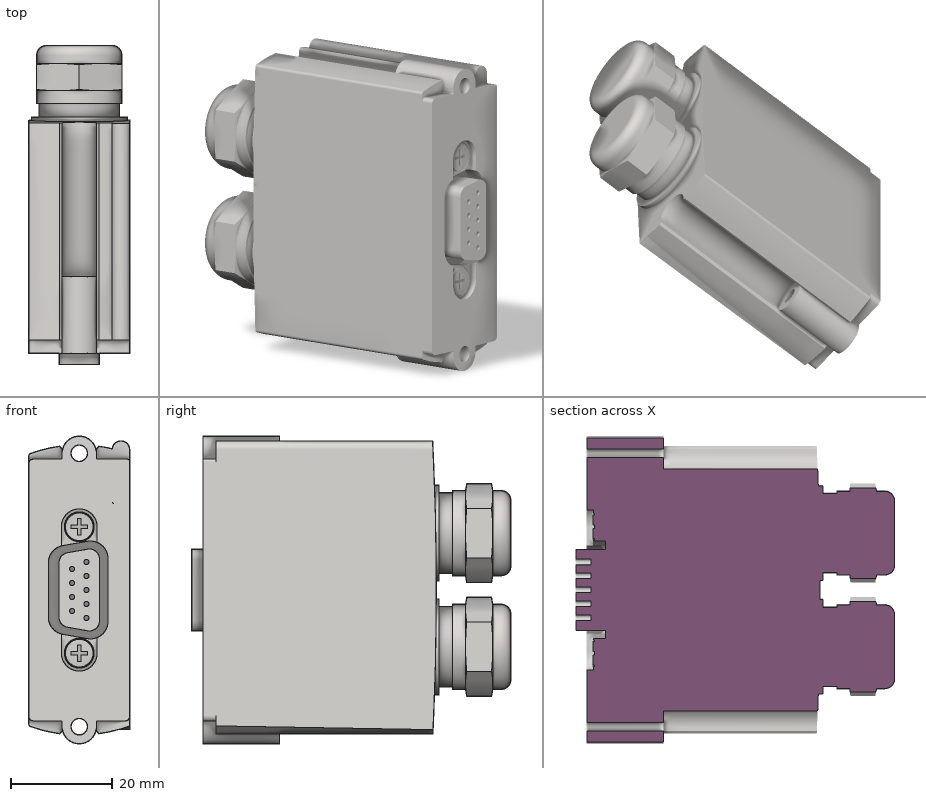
import cadquery as cq
import math

width = 20.0
overall_length = 63.19
overall_height = 60.9
half_width = width / 2
crown_radius = 28.3
crown_top = 28.72
edge_fillet = 0.6
rear_edge_y = 45.42
rear_bulge = 0.75
rear_y = rear_edge_y + rear_bulge

plate_depth = 2.58
plate_half_height = 25.88
plate_corner_radius = 0.9
plate_rail_corner_radius = 0.5
neck_fillet = 0.25

ear_radius = 3.4
ear_z = overall_height / 2 - ear_radius
ear_length = 15.15
ear_hole_diameter = 3.2
lip_chamfer = 0.5

bump_radius = 1.75
bump_z = 27.75
ramp_width = 2.4
ramp_rise = 0.75

shell_protrusion = 2.25
shell_half_width = 4.0
shell_mid_height = 7.78
shell_radius = 2.0
recess_left = 6.13
recess_right = 5.7
recess_mid_height = 9.35
recess_radius = 3.5
recess_depth = 3.6
flank_angle = 10.0
flank_slope = math.tan(math.radians(flank_angle))
pin_diameter = 1.0
pin_depth = 3.0
pin_pitch = 2.77
row_pitch = 2.84
long_row_pins = 5
short_row_pins = 4

screw_z = 12.5
seat_radius = 3.55
seat_depth = 1.2
head_diameter = 5.5
clearance_diameter = 5.9
clearance_depth = 0.2
head_height = 0.1
cross_length = 3.3
cross_width = 0.65
cross_depth = 0.35

gland_z = 11.25
gland_start_y = 45.0
flange_diameter = 19.0
flange_end_y = 46.75
neck_diameter = 16.0
neck_end_y = 49.4
nut_diameter = 16.9
hex_flats = 17.0
hex_start_y = 51.95
hex_end_y = 57.35
hex_chamfer = 0.25
gland_end_y = overall_length - shell_protrusion
gland_nose_fillet = 2.0


def front_plane(y):
    """Sketch plane at depth y with local axes along +X and +Z."""
    return cq.Workplane(cq.Plane(origin=(0, y, 0), xDir=(1, 0, 0), normal=(0, -1, 0)))


def block(x_range, y_range, z_range):
    sizes = [high - low for low, high in (x_range, y_range, z_range)]
    corner = (x_range[0], y_range[0], z_range[0])
    return cq.Workplane("XY").box(*sizes, centered=False).translate(corner)


def cylinder(x, z, diameter, y_start, y_end):
    return front_plane(y_start).center(x, z).circle(diameter / 2).extrude(y_start - y_end)


def crown_height(x):
    """Height of the crowned top surface at position x."""
    return crown_top - crown_radius + math.sqrt(crown_radius**2 - x**2)


def make_housing():
    side = crown_height(half_width)
    length = rear_y - plate_depth
    housing = (
        front_plane(plate_depth)
        .moveTo(-half_width, -side)
        .threePointArc((0, -crown_top), (half_width, -side))
        .lineTo(half_width, side)
        .threePointArc((0, crown_top), (-half_width, side))
        .close()
        .extrude(-length)
        .edges("|Y and <X")
        .fillet(edge_fillet)
    )
    bump_x = half_width - bump_radius
    bump = cylinder(bump_x, bump_z, 2 * bump_radius, plate_depth, rear_y)
    bump_foot = block((bump_x, half_width), (plate_depth, rear_y), (0, bump_z))
    ramp = (
        cq.Workplane("YZ", origin=(half_width - ramp_width, 0, 0))
        .polyline([(plate_depth, 0), (plate_depth, -side), (rear_y, -side - ramp_rise), (rear_y, 0)])
        .close()
        .extrude(ramp_width)
    )
    bulged_side = (
        cq.Workplane("YZ", origin=(-half_width, 0, 0))
        .moveTo(0, -crown_top - bump_radius)
        .lineTo(rear_edge_y, -crown_top - bump_radius)
        .threePointArc((rear_y, 0), (rear_edge_y, crown_top + bump_radius))
        .lineTo(0, crown_top + bump_radius)
        .close()
        .extrude(width)
    )
    return housing.union(bump).union(bump_foot).union(ramp).intersect(bulged_side)


def make_channel():
    """Cutter for the round-bottomed screw channel in the top surface."""
    lip_z = crown_height(ear_radius + lip_chamfer)
    opening = (
        front_plane(plate_depth)
        .moveTo(-ear_radius, ear_z)
        .threePointArc((0, ear_z - ear_radius), (ear_radius, ear_z))
        .lineTo(ear_radius, lip_z - lip_chamfer)
        .lineTo(ear_radius + lip_chamfer, lip_z)
        .lineTo(ear_radius + lip_chamfer, crown_top)
        .lineTo(-ear_radius - lip_chamfer, crown_top)
        .lineTo(-ear_radius - lip_chamfer, lip_z)
        .lineTo(-ear_radius, lip_z - lip_chamfer)
        .close()
    )
    return opening.extrude(plate_depth - rear_y)


def make_front_plate():
    y_range = (0, plate_depth)
    plate = block((-half_width, half_width), y_range, (-plate_half_height, plate_half_height))
    plate = plate.edges("|Y and <X").fillet(plate_corner_radius)
    plate = plate.edges("|Y and >X and <Z").fillet(plate_corner_radius)
    plate = plate.edges("|Y and >X and >Z").fillet(plate_rail_corner_radius)
    plate = plate.union(block((-ear_radius, ear_radius), y_range, (-ear_z, ear_z)))
    for x in (-ear_radius, ear_radius):
        for z in (-plate_half_height, plate_half_height):
            low = (x - neck_fillet, 0, z - neck_fillet)
            high = (x + neck_fillet, plate_depth, z + neck_fillet)
            corner = cq.selectors.BoxSelector(low, high)
            plate = plate.edges(corner).fillet(neck_fillet)
    return plate


def d_shape(y, left, right, mid_height, radius, depth):
    """Rounded D-shaped prism from depth y, taller on its right side."""
    left_height = mid_height - left * flank_slope
    right_height = mid_height + right * flank_slope
    corners = [(-left, -left_height), (right, -right_height), (right, right_height), (-left, left_height)]
    return front_plane(y).polyline(corners).close().extrude(-depth).edges("|Y").fillet(radius)


def pin_positions():
    rows = ((row_pitch / 2, long_row_pins), (-row_pitch / 2, short_row_pins))
    return [(x, (i - (count - 1) / 2) * pin_pitch) for x, count in rows for i in range(count)]


def add_connector(body):
    seat_length = 2 * (screw_z + seat_radius)
    body = body.cut(front_plane(0).slot2D(seat_length, 2 * seat_radius, 90).extrude(-seat_depth))
    body = body.cut(d_shape(0, recess_left, recess_right, recess_mid_height, recess_radius, recess_depth))
    shell_length = shell_protrusion + recess_depth
    shell = d_shape(
        -shell_protrusion, shell_half_width, shell_half_width, shell_mid_height, shell_radius, shell_length
    )
    pins = front_plane(-shell_protrusion).pushPoints(pin_positions()).circle(pin_diameter / 2)
    return body.union(shell).cut(pins.extrude(-pin_depth))


def add_screw(body, z):
    """Set a cross-recessed screw head into a clearance hole in its seat."""
    head_y = seat_depth - head_height
    clearance_end_y = seat_depth + clearance_depth
    clearance = cylinder(0, z, clearance_diameter, seat_depth, clearance_end_y)
    head = cylinder(0, z, head_diameter, head_y, clearance_end_y)
    cross = front_plane(head_y).center(0, z).rect(cross_length, cross_width).extrude(-cross_depth)
    upright = front_plane(head_y).center(0, z).rect(cross_width, cross_length).extrude(-cross_depth)
    return body.cut(clearance).union(head).cut(cross.union(upright))


def make_gland(z):
    flange = cylinder(0, z, flange_diameter, gland_start_y, flange_end_y)
    neck = cylinder(0, z, neck_diameter, gland_start_y, neck_end_y)
    nut = cylinder(0, z, nut_diameter, neck_end_y, gland_end_y).faces(">Y").edges().fillet(gland_nose_fillet)
    across_corners = hex_flats / math.cos(math.pi / 6)
    hexagon = (
        front_plane(hex_start_y)
        .center(0, z)
        .transformed(rotate=(0, 0, 90))
        .polygon(6, across_corners)
        .extrude(hex_start_y - hex_end_y)
    )
    corner_trim = (
        cylinder(0, z, across_corners, hex_start_y, hex_end_y)
        .faces("<Y or >Y")
        .edges()
        .chamfer(hex_chamfer, (across_corners - nut_diameter) / 2)
    )
    hexagon = hexagon.intersect(corner_trim)
    return flange.union(neck).union(nut).union(hexagon)


channel = make_channel()
result = make_housing().cut(channel).cut(channel.mirror("XY")).union(make_front_plate())
for side in (-1, 1):
    result = result.union(cylinder(0, side * ear_z, 2 * ear_radius, 0, ear_length))
    result = result.cut(cylinder(0, side * ear_z, ear_hole_diameter, 0, ear_length))
result = add_connector(result)
for side in (-1, 1):
    result = add_screw(result, side * screw_z)
    result = result.union(make_gland(side * gland_z))